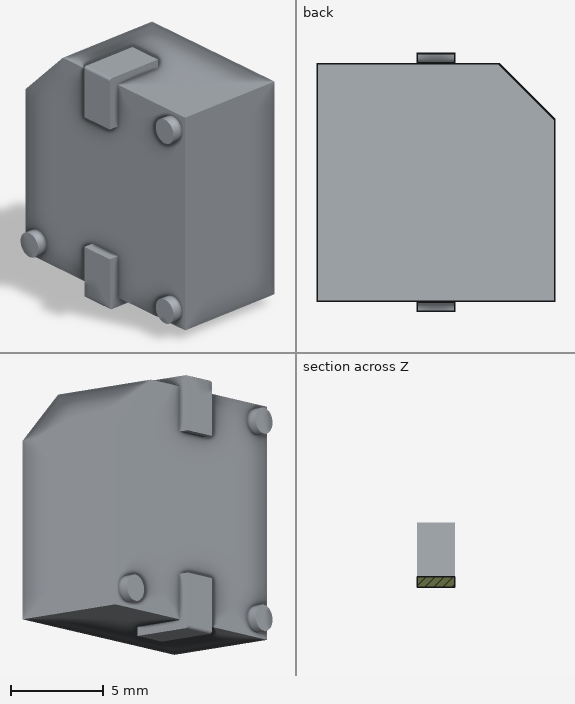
import cadquery as cq

side = 12.8
depth = 6.5
corner_cut = 3.0

overall_height = 13.9
overall_depth = 7.1
terminal_width = 2.05
terminal_face_length = 3.05
terminal_side_length = 3.5
terminal_bend_radius = 0.15
terminal_gap = 0.05

peg_diameter = 1.43
peg_edge_offset = 0.99

half_side = side / 2
half_height = overall_height / 2
front_thickness = overall_depth - depth
peg_position = half_side - peg_edge_offset


def make_housing():
    block = cq.Workplane("XY").box(side, depth, side).translate((0, depth / 2, 0))
    return block.edges("|Y and <X and >Z").chamfer(corner_cut)


def make_top_terminal():
    front = -front_thickness
    back = front + terminal_side_length
    underside = half_side + terminal_gap
    strap = (
        cq.Workplane("YZ")
        .moveTo(front, half_height)
        .lineTo(back, half_height)
        .lineTo(back, underside)
        .lineTo(0, underside)
        .lineTo(0, half_height - terminal_face_length)
        .lineTo(front, half_height - terminal_face_length)
        .close()
        .extrude(terminal_width / 2, both=True)
    )
    return strap.edges("|X and <Y and >Z").fillet(terminal_bend_radius)


def make_pegs():
    centers = [
        (-peg_position, -peg_position),
        (peg_position, -peg_position),
        (peg_position, peg_position),
    ]
    return (
        cq.Workplane("XZ")
        .pushPoints(centers)
        .circle(peg_diameter / 2)
        .extrude(front_thickness)
    )


top_terminal = make_top_terminal()
bottom_terminal = top_terminal.mirror("XY")

result = make_housing().union(top_terminal).union(bottom_terminal).union(make_pegs())